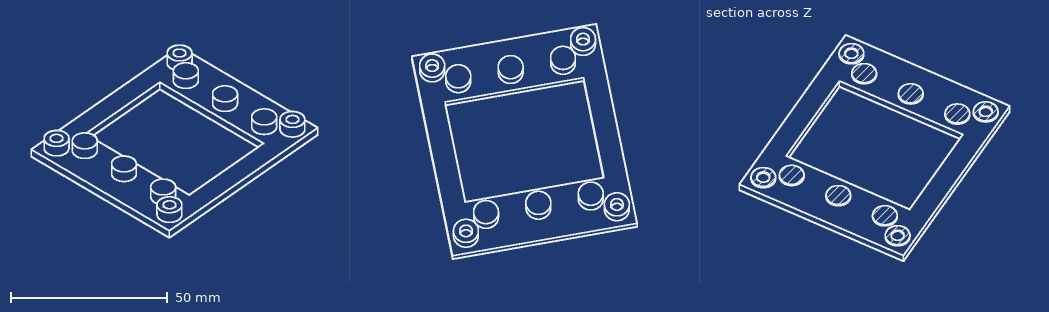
import cadquery as cq

plate_width = 60.0
plate_length = 70.0
total_height = 7.0
plate_thickness = 3.0
window_width = 45.0
window_length = 35.0

stud_height = total_height - plate_thickness
stud_diameter = 8.0
bore_diameter = 4.0
corner_x = 24.5
corner_y = 29.0
row_pitch = 17.0
row_y = 23.8


def make_frame():
    plate = cq.Workplane("XY").rect(plate_width, plate_length)
    return plate.rect(window_width, window_length).extrude(plate_thickness)


def make_cylinders(points, diameter):
    """Cylinders rising from the plate's upper face to the top of the part."""
    base = cq.Workplane("XY").workplane(offset=plate_thickness)
    return base.pushPoints(points).circle(diameter / 2).extrude(stud_height)


corner_points = [(x, y) for x in (-corner_x, corner_x) for y in (-corner_y, corner_y)]
row_points = [(x, y) for x in (-row_pitch, 0, row_pitch) for y in (-row_y, row_y)]

corner_tubes = make_cylinders(corner_points, stud_diameter).cut(
    make_cylinders(corner_points, bore_diameter)
)
row_studs = make_cylinders(row_points, stud_diameter)

result = make_frame().union(corner_tubes).union(row_studs)